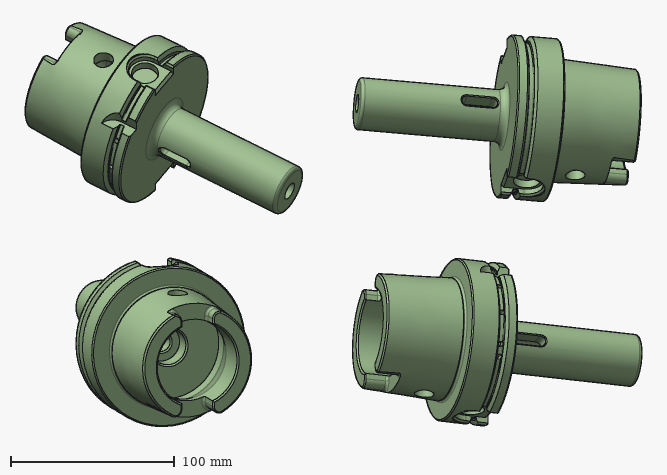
import cadquery as cq
import math


total_length = 170.0
flange_start = 50.0
flange_end = 79.0

taper_end_radius = 37.9
taper_end = 48.0
taper_slope = 0.05
taper_start_radius = taper_end_radius - taper_slope * taper_end
taper_chamfer = 1.0
relief_radius = 37.4
relief_start = 48.5
relief_fillet = 1.4

flange_radius = 50.0
flange_chamfer = 0.8
groove_start = 66.8
groove_end = 73.3
groove_floor_radius = 45.9
groove_wall_height = 1.4
groove_fillet = 0.5
groove_slope_angle = 30
groove_slope_height = flange_radius - groove_floor_radius - groove_wall_height
groove_slope_run = groove_slope_height * math.tan(math.radians(groove_slope_angle))

shank_radius = 16.0
shank_fillet = 5.0
shank_end_fillet = 2.0

bore_radius = 26.0
bore_chamfer = 1.0
bore_length = 20.0
chamber_radius = 32.3
chamber_cone_end = 40.8
chamber_end = 49.3
counterbore_radius = 11.2
counterbore_end = 61.2
coolant_radius = 5.5
hole_chamfer = 1.0

key_half_width = 10.0
key_flare_radius = 4.5
key_floor_fillet = 1.7
key_mouth_chamfer = 0.8
upper_key_depth = 10.0
lower_key_depth = 15.0

cross_hole_x = 34.8
cross_hole_radius = 6.0

pocket_x = 65.0
pocket_radius = 10.0
pocket_floor = 44.0
pocket_rim_chamfer = 1.2
pocket_rim_height = 48.6
pocket_end_chamfer = 1.7
chip_hole_radius = 8.2
chip_hole_depth = 5.1

notch_offset = 31.5
notch_start = 58.1
notch_corner_radius = pocket_radius

window_start = 85.7
window_length = 22.1
window_width = 6.6
window_chamfer = 0.7
window_rim_depth = 0.8

groove_hole_angles = (30, 5, -20, -30)
groove_hole_radius = 1.5
groove_hole_depth = 5.1

clearance = 8.5


def turned_body():
    groove_floor_start = groove_start + groove_slope_run
    groove_floor_end = groove_end - groove_slope_run
    groove_wall_top = groove_floor_radius + groove_wall_height
    chamfer_radius = taper_start_radius - taper_chamfer
    neck_center_x = flange_end + shank_fillet
    neck_center_r = shank_radius + shank_fillet
    relief_center_x = flange_start - relief_fillet
    relief_center_r = relief_radius + relief_fillet
    tip_center_x = total_length - shank_end_fillet
    tip_center_r = shank_radius - shank_end_fillet
    profile = (
        cq.Workplane("XZ")
        .moveTo(0, 0)
        .lineTo(0, chamfer_radius)
        .lineTo(taper_chamfer, taper_start_radius + taper_slope * taper_chamfer)
        .lineTo(taper_end, taper_end_radius)
        .lineTo(relief_start, relief_radius)
        .lineTo(relief_center_x, relief_radius)
        .radiusArc((flange_start, relief_center_r), -relief_fillet)
        .lineTo(flange_start, flange_radius - flange_chamfer)
        .lineTo(flange_start + flange_chamfer, flange_radius)
        .lineTo(groove_start, flange_radius)
        .lineTo(groove_floor_start, groove_wall_top)
        .lineTo(groove_floor_start, groove_floor_radius + groove_fillet)
        .radiusArc((groove_floor_start + groove_fillet, groove_floor_radius), -groove_fillet)
        .lineTo(groove_floor_end - groove_fillet, groove_floor_radius)
        .radiusArc((groove_floor_end, groove_floor_radius + groove_fillet), -groove_fillet)
        .lineTo(groove_floor_end, groove_wall_top)
        .lineTo(groove_end, flange_radius)
        .lineTo(flange_end - flange_chamfer, flange_radius)
        .lineTo(flange_end, flange_radius - flange_chamfer)
        .lineTo(flange_end, neck_center_r)
        .radiusArc((neck_center_x, shank_radius), -shank_fillet)
        .lineTo(tip_center_x, shank_radius)
        .radiusArc((total_length, tip_center_r), shank_end_fillet)
        .lineTo(total_length, 0)
        .close()
    )
    return profile.revolve(360, (0, 0, 0), (1, 0, 0))


def cavity():
    points = [
        (0, 0),
        (0, bore_radius + bore_chamfer),
        (bore_chamfer, bore_radius),
        (bore_length, bore_radius),
        (chamber_cone_end, chamber_radius),
        (chamber_end, chamber_radius),
        (chamber_end, counterbore_radius + hole_chamfer),
        (chamber_end + hole_chamfer, counterbore_radius),
        (counterbore_end, counterbore_radius),
        (counterbore_end, coolant_radius + hole_chamfer),
        (counterbore_end + hole_chamfer, coolant_radius),
        (total_length, coolant_radius),
        (total_length, 0),
    ]
    return cq.Workplane("XZ").polyline(points).close().revolve(360, (0, 0, 0), (1, 0, 0))


def key_section(plane_x, growth):
    """Slot outline square to X: straight walls whose outer ends roll out tangent to the taper."""
    half_width = key_half_width + growth
    flare = key_flare_radius - growth
    flare_y = key_half_width + key_flare_radius
    flare_z = math.sqrt((taper_start_radius - key_flare_radius) ** 2 - flare_y**2)
    flare_top = flare_z + flare
    outside = taper_start_radius + clearance
    return (
        cq.Workplane("YZ", origin=(plane_x, 0, 0))
        .moveTo(-half_width, 0)
        .lineTo(half_width, 0)
        .lineTo(half_width, flare_z)
        .radiusArc((flare_y, flare_top), flare)
        .lineTo(flare_y + clearance, flare_top)
        .lineTo(flare_y + clearance, outside)
        .lineTo(-flare_y - clearance, outside)
        .lineTo(-flare_y - clearance, flare_top)
        .lineTo(-flare_y, flare_top)
        .radiusArc((-half_width, flare_z), flare)
        .close()
    )


def key_slot(depth):
    slot = key_section(0, 0).extrude(depth).faces(">X").edges().fillet(key_floor_fillet)
    start = key_section(0, key_mouth_chamfer).wires().val()
    end = key_section(key_mouth_chamfer, 0).wires().val()
    mouth = cq.Workplane(cq.Solid.makeLoft([start, end], True))
    return slot.union(mouth)


def pocket_outline(height, radius):
    """Slot outline square to Z: round towards the taper, open at the shank face of the flange."""
    open_end = flange_end + clearance
    return (
        cq.Workplane("XY", origin=(0, 0, height))
        .moveTo(open_end, radius)
        .lineTo(pocket_x, radius)
        .threePointArc((pocket_x - radius, 0), (pocket_x, -radius))
        .lineTo(open_end, -radius)
        .close()
    )


def flange_pocket():
    rim_radius = pocket_radius + pocket_rim_chamfer
    chamfer_bottom = pocket_rim_height - pocket_rim_chamfer
    floor_part = pocket_outline(pocket_floor, pocket_radius).extrude(clearance)
    rim_part = pocket_outline(pocket_rim_height, rim_radius).extrude(clearance)
    lower = pocket_outline(chamfer_bottom, pocket_radius).wires().val()
    upper = pocket_outline(pocket_rim_height, rim_radius).wires().val()
    chamfer_part = cq.Workplane(cq.Solid.makeLoft([lower, upper], True))
    chip_hole = (
        cq.Workplane("XY", origin=(pocket_x, 0, pocket_floor - chip_hole_depth))
        .circle(chip_hole_radius)
        .extrude(chip_hole_depth + clearance)
    )
    end_chamfer = (
        cq.Workplane("XZ", origin=(flange_end, 0, pocket_floor))
        .polyline([(-pocket_end_chamfer, 0), (0, 0), (0, -pocket_end_chamfer)])
        .close()
        .extrude(pocket_radius, both=True)
    )
    return floor_part.union(chamfer_part).union(rim_part).union(chip_hole).union(end_chamfer)


def orientation_notch():
    """Square step whose end wall meets the inner wall in a round corner."""
    size = flange_radius - notch_offset
    end = flange_end + clearance
    corner_x = notch_start + notch_corner_radius
    corner_y = -notch_offset - notch_corner_radius
    return (
        cq.Workplane("XY", origin=(0, 0, notch_offset))
        .moveTo(end, -notch_offset)
        .lineTo(corner_x, -notch_offset)
        .radiusArc((notch_start, corner_y), -notch_corner_radius)
        .lineTo(notch_start, -flange_radius)
        .lineTo(end, -flange_radius)
        .close()
        .extrude(size)
    )


def cross_hole():
    return (
        cq.Workplane("XY", origin=(cross_hole_x, 0, 0))
        .circle(cross_hole_radius)
        .extrude(2 * flange_radius, both=True)
    )


def groove_hole(angle):
    groove_middle = (groove_start + groove_end) / 2
    hole_bottom = groove_floor_radius - groove_hole_depth
    return (
        cq.Workplane("XZ", origin=(groove_middle, -hole_bottom, 0))
        .circle(groove_hole_radius)
        .extrude(groove_hole_depth + clearance)
        .rotate((0, 0, 0), (1, 0, 0), -angle)
    )


def shank_window(body):
    window_x = window_start + window_length / 2
    window = (
        cq.Workplane("XZ", origin=(window_x, 0, 0))
        .slot2D(window_length, window_width)
        .extrude(2 * shank_radius, both=True)
    )
    cut = body.cut(window)
    for side in (-1, 1):
        rim_zone = cq.selectors.BoxSelector(
            (window_start, side * (shank_radius + clearance), -window_width),
            (window_start + window_length, side * (shank_radius - window_rim_depth), window_width),
        )
        cut = cut.edges(rim_zone).chamfer(window_chamfer)
    return cut


lower_side = ((0, 0, 0), (1, 0, 0), 180)

body = turned_body()
body = body.cut(cavity())
body = body.cut(key_slot(upper_key_depth))
body = body.cut(key_slot(lower_key_depth).rotate(*lower_side))
body = body.cut(cross_hole())
body = body.cut(flange_pocket())
body = body.cut(flange_pocket().rotate(*lower_side))
body = body.cut(orientation_notch())
for hole_angle in groove_hole_angles:
    body = body.cut(groove_hole(hole_angle))

result = shank_window(body)